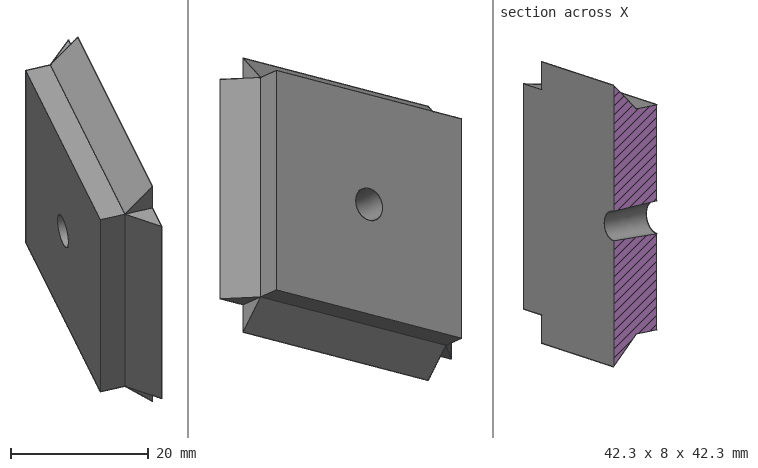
import cadquery as cq

overall_width = 42.3
thickness = 8.0
wedge_size = 4.25
plate_width = overall_width - 2 * wedge_size
half_plate = plate_width / 2

front_hole_diameter = 4.9
back_hole_diameter = 4.4


def make_plate():
    """Square plate standing in the XZ plane."""
    return cq.Workplane("XY").box(plate_width, thickness, plate_width).translate((0, thickness / 2, 0))


def make_wedge():
    """Triangular wedge along the +X side, widest at the back face."""
    return (
        cq.Workplane("XY", origin=(0, 0, -half_plate))
        .moveTo(half_plate, thickness - wedge_size)
        .lineTo(half_plate + wedge_size, thickness)
        .lineTo(half_plate, thickness)
        .close()
        .extrude(plate_width)
    )


def make_hole():
    """Cone frustum along Y that cuts the central hole."""
    return (
        cq.Workplane("XZ")
        .circle(front_hole_diameter / 2)
        .workplane(offset=-thickness)
        .circle(back_hole_diameter / 2)
        .loft()
    )


result = make_plate()
for angle in (0, 90, 180, 270):
    result = result.union(make_wedge().rotate((0, 0, 0), (0, 1, 0), angle))
result = result.cut(make_hole())